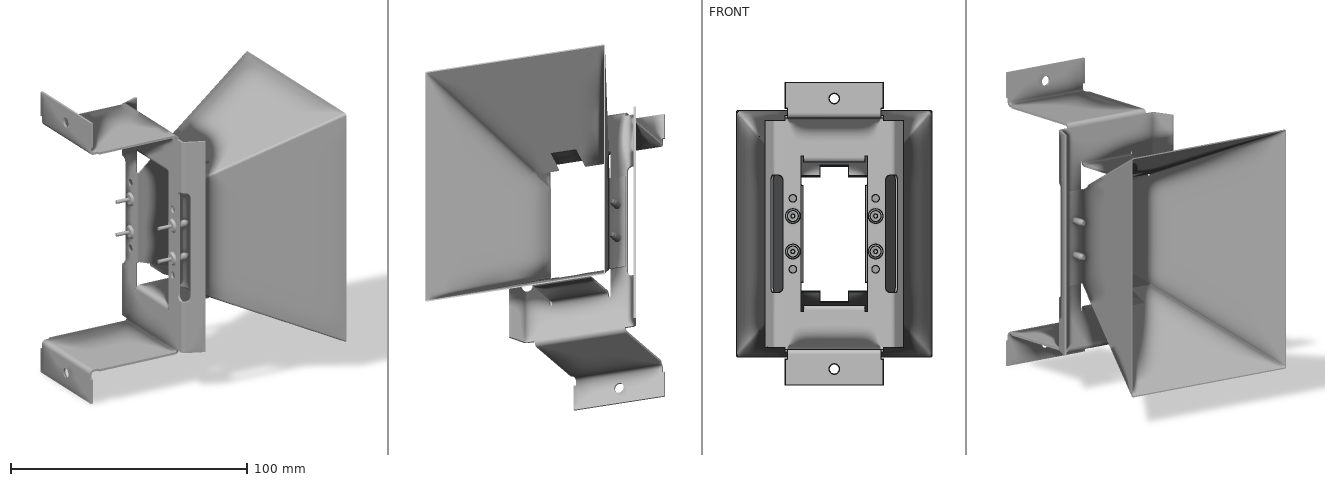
import cadquery as cq
import math


overall_width = 82.74
overall_depth = 113.4

sheet = 1.0
bend_inner = 1.0
bend_outer = bend_inner + sheet
plate_half_x = 24.0
arm_outer_z = 50.0
plate_half_z = arm_outer_z - bend_outer

wing_angle = math.radians(67)
wing_depth = 9.5

arm_width = 41.6
arm_reach = 42.2
tab_top_z = 64.0
tab_hole_dia = 4.3
tab_hole_z = 57.2
relief_width = 1.0
relief_length = 2.0

window_width = 28.0
window_half_z = 32.9
lip_width = 26.0
lip_outer_z = 31.3
lip_depth = 20.5

slot_length = 49.8
slot_flat = 2.3

pin_x = 17.5
pin_z = 7.5
spare_hole_z = 15.0
spare_hole_dia = 3.2
pin_dia = 3.0
pin_back_y = 7.5
pin_tip_length = 1.5
pin_tip_inset = 0.5
collar_base_dia = 6.2
collar_face_dia = 4.6
collar_height = 1.0
stem_dia = 1.6
stem_length = 7.0

horn_sheet = 0.5
horn_start_y = sheet
horn_end_y = overall_depth - arm_reach
horn_length = horn_end_y - horn_start_y
horn_mouth_half_x = overall_width / 2
horn_mouth_half_z = 52.2
horn_throat_half_x = 13.7
horn_throat_half_z = 21.0
horn_corner_radius = 1.0
horn_top_start_y = 9.2
horn_notch_width = 12.0
horn_notch_depth = 10.0
flange_half_x = 21.0
flange_half_z = horn_throat_half_z - horn_sheet

SIGNS = (-1, 1)


def box(x0, x1, y0, y1, z0, z1):
    """Box between two opposite corners."""
    size = (x1 - x0, y1 - y0, z1 - z0)
    return cq.Workplane("XY").box(*size, centered=False).translate((x0, y0, z0))


def rod_y(diameter, y0, y1, x, z):
    """Round rod along +Y from y0 to y1."""
    return cq.Workplane("XZ", origin=(x, y0, z)).circle(diameter / 2).extrude(y0 - y1)


def both_ends(shape):
    """The shape together with its mirror image below the XY plane."""
    return shape.union(shape.mirror("XY"))


def round_bend(shape, inner_point, outer_point):
    """Round the two edges of a sharp sheet fold, given a point on each."""
    shape = shape.edges(cq.NearestToPointSelector(inner_point)).fillet(bend_inner)
    return shape.edges(cq.NearestToPointSelector(outer_point)).fillet(bend_outer)


fold_x = plate_half_x + bend_outer * math.tan(wing_angle / 2)
fold_back_x = fold_x - sheet * math.tan(wing_angle / 2)


def wing_plate_half():
    """Half of the plate, with the wing on the +X side."""
    run = 1 / math.tan(wing_angle)
    tip_y = wing_depth - sheet * math.cos(wing_angle)
    tip_x = fold_x + tip_y * run
    tip_back_x = fold_back_x + (wing_depth - sheet) * run
    half = (
        cq.Workplane("XY", origin=(0, 0, -plate_half_z))
        .moveTo(0, 0)
        .lineTo(fold_x, 0)
        .lineTo(tip_x, tip_y)
        .lineTo(tip_back_x, wing_depth)
        .lineTo(fold_back_x, sheet)
        .lineTo(0, sheet)
        .close()
        .extrude(2 * plate_half_z)
    )
    return round_bend(half, (fold_back_x, sheet, 0), (fold_x, 0, 0))


def arm():
    """Upper arm: rises from the plate, runs forward and ends in an upright tab."""
    inner_z = arm_outer_z - sheet
    half = arm_width / 2
    profile = [
        (0, window_half_z),
        (0, inner_z),
        (-arm_reach, inner_z),
        (-arm_reach, tab_top_z),
        (sheet - arm_reach, tab_top_z),
        (sheet - arm_reach, arm_outer_z),
        (sheet, arm_outer_z),
        (sheet, window_half_z),
    ]
    body = cq.Workplane("YZ", origin=(-half, 0, 0)).polyline(profile).close().extrude(arm_width)
    body = round_bend(body, (0, 0, inner_z), (0, sheet, arm_outer_z))
    body = round_bend(body, (0, sheet - arm_reach, arm_outer_z), (0, -arm_reach, inner_z))

    relief_y = bend_outer + relief_length - arm_reach
    relief_z = inner_z + bend_outer + relief_length
    for side in SIGNS:
        x0, x1 = sorted((side * half, side * (half - relief_width)))
        body = body.cut(box(x0, x1, -arm_reach, relief_y, inner_z, relief_z))
    return body.cut(rod_y(tab_hole_dia, -arm_reach, sheet - arm_reach, 0, tab_hole_z))


def lip():
    """Upper lip: bent back from the upper end of the plate window."""
    inner_z = lip_outer_z - sheet
    profile = [
        (0, inner_z),
        (lip_depth, inner_z),
        (lip_depth, lip_outer_z),
        (sheet, lip_outer_z),
        (sheet, window_half_z),
        (0, window_half_z),
    ]
    half = lip_width / 2
    body = cq.Workplane("YZ", origin=(-half, 0, 0)).polyline(profile).close().extrude(lip_width)
    return round_bend(body, (0, sheet, lip_outer_z), (0, 0, inner_z))


def wing_slot():
    """Cutter for the slot along the +X bend, square to the sheet everywhere."""
    plate_part = (
        cq.Workplane("XZ", origin=(plate_half_x, 0, 0))
        .slot2D(slot_length, 2 * slot_flat, 90)
        .extrude(-sheet)
        .intersect(box(0, plate_half_x, 0, sheet, -slot_length, slot_length))
    )
    axis_y = bend_outer - sheet / 2
    bend_part = (
        cq.Workplane("YZ", origin=(plate_half_x, sheet / 2, 0))
        .rect(sheet, slot_length)
        .revolve(math.degrees(wing_angle), (axis_y, 0, 0), (axis_y, 1, 0))
    )
    middle = wing_angle / 2
    across = cq.Vector(math.cos(middle), math.sin(middle), 0)
    wing_part = plate_part.mirror(across, (plate_half_x, bend_outer, 0))
    return plate_part.union(bend_part).union(wing_part)


def make_bracket():
    half = wing_plate_half()
    body = half.union(half.mirror("YZ"))
    body = body.cut(box(-window_width / 2, window_width / 2, 0, sheet, -window_half_z, window_half_z))
    body = body.union(both_ends(arm())).union(both_ends(lip()))
    slot = wing_slot()
    body = body.cut(slot).cut(slot.mirror("YZ"))
    for side in SIGNS:
        for end in SIGNS:
            for diameter, hole_z in ((pin_dia, pin_z), (spare_hole_dia, spare_hole_z)):
                body = body.cut(rod_y(diameter, 0, sheet, side * pin_x, end * hole_z))
    return body


slope_x = (horn_mouth_half_x - horn_throat_half_x) / horn_length
slope_z = (horn_mouth_half_z - horn_throat_half_z) / horn_length
wall_x = horn_sheet * math.hypot(1, slope_x)
wall_z = horn_sheet * math.hypot(1, slope_z)


def frustum(throat_half_x, throat_half_z, mouth_half_x, mouth_half_z):
    """Four-sided taper over the length of the horn."""
    return (
        cq.Workplane("XZ", origin=(0, horn_start_y, 0))
        .rect(2 * throat_half_x, 2 * throat_half_z)
        .workplane(offset=-horn_length)
        .rect(2 * mouth_half_x, 2 * mouth_half_z)
        .loft(ruled=True)
    )


def make_horn():
    inner_throat_z = horn_throat_half_z - wall_z
    inner_mouth_z = horn_mouth_half_z - wall_z
    outer = frustum(horn_throat_half_x, horn_throat_half_z, horn_mouth_half_x, horn_mouth_half_z)
    inner = frustum(horn_throat_half_x - wall_x, inner_throat_z, horn_mouth_half_x - wall_x, inner_mouth_z)
    slanted = "not(#Y)"
    corner = horn_corner_radius - horn_sheet
    outer = outer.edges(slanted).fillet(horn_corner_radius)
    inner = inner.edges(slanted).fillet(corner)
    body = outer.cut(inner)

    between_walls = frustum(
        horn_mouth_half_x, inner_throat_z - corner, horn_mouth_half_x, inner_mouth_z - corner
    )
    throat = box(
        -horn_mouth_half_x, horn_mouth_half_x,
        horn_start_y, horn_top_start_y,
        -horn_mouth_half_z, horn_mouth_half_z,
    )
    body = body.cut(throat.cut(between_walls))

    body = body.cut(box(
        -horn_notch_width / 2, horn_notch_width / 2,
        horn_start_y, horn_top_start_y + horn_notch_depth,
        -horn_mouth_half_z, horn_mouth_half_z,
    ))

    for side in SIGNS:
        x0, x1 = sorted((side * (horn_throat_half_x - wall_x), side * flange_half_x))
        flange = box(x0, x1, horn_start_y, horn_start_y + horn_sheet, -flange_half_z, flange_half_z)
        for end in SIGNS:
            flange = flange.cut(
                rod_y(pin_dia, horn_start_y, horn_start_y + horn_sheet, side * pin_x, end * pin_z)
            )
        body = body.union(flange.cut(inner))
    return body


def make_pin(x, z):
    """Turned pin along Y: shank through the sheets, tapered collar and thin stem in front."""
    profile = [
        (0, -stem_length),
        (stem_dia / 2, -stem_length),
        (stem_dia / 2, -collar_height),
        (collar_face_dia / 2, -collar_height),
        (collar_base_dia / 2, 0),
        (pin_dia / 2, 0),
        (pin_dia / 2, pin_back_y - pin_tip_length),
        (pin_dia / 2 - pin_tip_inset, pin_back_y),
        (0, pin_back_y),
    ]
    pin = cq.Workplane("XY").polyline(profile).close().revolve(360, (0, 0, 0), (0, 1, 0))
    return pin.translate((x, 0, z))


bracket = make_bracket()
horn = make_horn()
pins = [make_pin(side * pin_x, end * pin_z) for side in SIGNS for end in SIGNS]

result = cq.Compound.makeCompound([
    bracket.solids().val(),
    horn.solids().val(),
    *[pin.solids().val() for pin in pins],
])